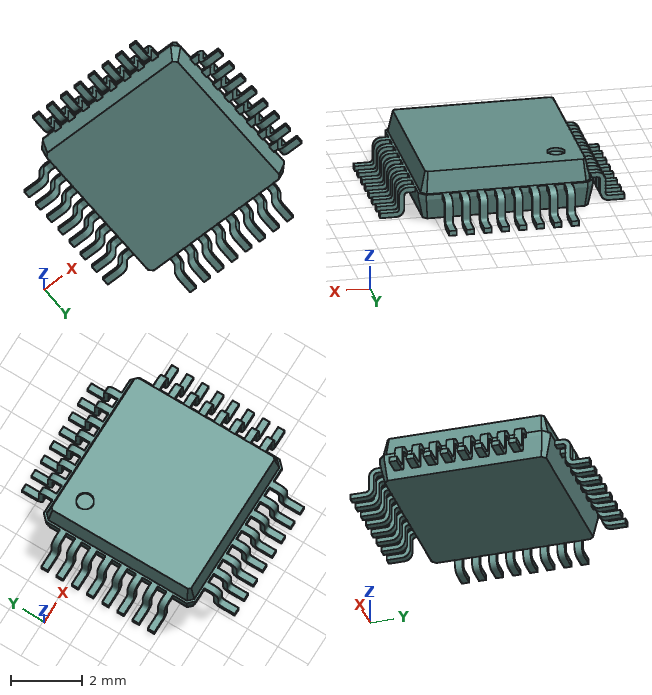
import cadquery as cq
import math

span = 7.0
total_height = 1.5
standoff = 0.1

leads_per_side = 8
lead_row_length = span / 2
lead_pitch = lead_row_length / (leads_per_side - 1)
lead_width = 0.22
lead_thickness = 0.15
inner_bend_radius = 0.1
outer_bend_radius = inner_bend_radius + lead_thickness
shank_outer = 2.955
shank_inner = shank_outer - lead_thickness
lead_embed = 0.35

body_width = 5.0
corner_chamfer = 0.19
draft_angle = 12.0
upper_setback = 0.07
parting_height = (standoff + total_height) / 2
band_bottom = parting_height - lead_thickness / 2
band_top = parting_height + lead_thickness / 2

marker_diameter = 0.5
marker_offset = 1.59
marker_depth = 0.1


def chamfered_square(width, chamfer, height):
    """Closed square outline with cut corners, lying at the given height."""
    half = width / 2
    flat = half - chamfer
    return (
        cq.Workplane("XY", origin=(0, 0, height))
        .moveTo(-flat, -half)
        .lineTo(flat, -half)
        .lineTo(half, -flat)
        .lineTo(half, flat)
        .lineTo(flat, half)
        .lineTo(-flat, half)
        .lineTo(-half, flat)
        .lineTo(-half, -flat)
        .close()
    )


def make_body():
    """Straight middle band with a drafted half above and below it."""
    band = chamfered_square(body_width, corner_chamfer, band_bottom).extrude(lead_thickness)
    lower = chamfered_square(body_width, corner_chamfer, band_bottom).extrude(
        -(band_bottom - standoff), taper=draft_angle
    )
    chamfer_loss = upper_setback * (2 - math.sqrt(2))
    upper = chamfered_square(
        body_width - 2 * upper_setback, corner_chamfer - chamfer_loss, band_top
    ).extrude(total_height - band_top, taper=draft_angle)
    return band.union(lower).union(upper)


def make_lead():
    """Gull-wing lead pointing along +X, centred on Y = 0."""
    root = body_width / 2 - lead_embed
    tip = span / 2
    arc_factor = math.sqrt(0.5)
    shoulder_x = shank_inner - inner_bend_radius
    shoulder_z = band_bottom - inner_bend_radius
    heel_x = shank_outer + inner_bend_radius
    heel_z = lead_thickness + inner_bend_radius

    def shoulder_mid(radius):
        return shoulder_x + radius * arc_factor, shoulder_z + radius * arc_factor

    def heel_mid(radius):
        return heel_x - radius * arc_factor, heel_z - radius * arc_factor

    return (
        cq.Workplane("XZ", origin=(0, lead_width / 2, 0))
        .moveTo(root, band_top)
        .lineTo(shoulder_x, band_top)
        .threePointArc(shoulder_mid(outer_bend_radius), (shank_outer, shoulder_z))
        .lineTo(shank_outer, heel_z)
        .threePointArc(heel_mid(inner_bend_radius), (heel_x, lead_thickness))
        .lineTo(tip, lead_thickness)
        .lineTo(tip, 0)
        .lineTo(heel_x, 0)
        .threePointArc(heel_mid(outer_bend_radius), (shank_inner, heel_z))
        .lineTo(shank_inner, shoulder_z)
        .threePointArc(shoulder_mid(inner_bend_radius), (shoulder_x, band_bottom))
        .lineTo(root, band_bottom)
        .close()
        .extrude(lead_width)
    )


def add_leads(body):
    """Join an evenly pitched row of leads to each of the four sides."""
    lead = make_lead().val()
    leads = []
    for side in range(4):
        for index in range(leads_per_side):
            offset = index * lead_pitch - lead_row_length / 2
            placed = lead.translate(cq.Vector(0, offset, 0))
            leads.append(placed.rotate(cq.Vector(0, 0, 0), cq.Vector(0, 0, 1), 90 * side))
    return body.union(cq.Workplane(obj=cq.Compound.makeCompound(leads)))


def cut_marker(package):
    """Sink the pin 1 marker into the top face."""
    marker = (
        cq.Workplane("XY", origin=(-marker_offset, marker_offset, total_height))
        .circle(marker_diameter / 2)
        .extrude(-marker_depth)
    )
    return package.cut(marker)


result = cut_marker(add_leads(make_body()))